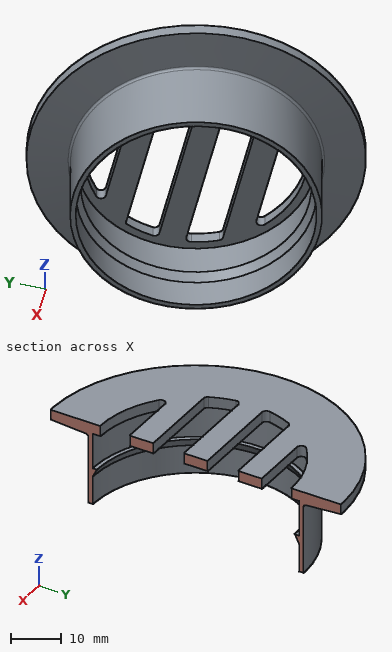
import cadquery as cq

flange_radius = 67.0 / 2
total_height = 19.0
rim_thickness = 2.4
underside_drop = 0.62

collar_outer_radius = 49.7 / 2
collar_inner_radius = 47.5 / 2
neck_fillet = 0.5
plate_thickness = 2.5

ridge_depth = 10.5
ridge_width = 1.0
ridge_height = 2.0

slot_circle_radius = 22.0
slot_pitch = 12.5
bar_width = 5.45
slot_width = slot_pitch - bar_width
slot_count = 4
slot_corner_radius = 1.0


def make_outer_body():
    """Solid flange and collar, the flange underside sloping down to the collar."""
    neck_z = -rim_thickness - underside_drop
    body = (
        cq.Workplane("XZ")
        .moveTo(0, 0)
        .lineTo(flange_radius, 0)
        .lineTo(flange_radius, -rim_thickness)
        .lineTo(collar_outer_radius, neck_z)
        .lineTo(collar_outer_radius, -total_height)
        .lineTo(0, -total_height)
        .close()
        .revolve(360, (0, 0, 0), (0, 1, 0))
    )
    neck_edge = cq.selectors.BoxSelector(
        (-flange_radius, -flange_radius, neck_z - neck_fillet),
        (flange_radius, flange_radius, neck_z + neck_fillet),
        boundingbox=True,
    )
    return body.edges(neck_edge).edges("%CIRCLE").fillet(neck_fillet)


def make_bore():
    """Space inside the collar, narrowed by the snap ridge."""
    ridge_radius = collar_inner_radius - ridge_width
    return (
        cq.Workplane("XZ")
        .moveTo(0, -plate_thickness)
        .lineTo(collar_inner_radius, -plate_thickness)
        .lineTo(collar_inner_radius, -ridge_depth)
        .lineTo(ridge_radius, -ridge_depth)
        .lineTo(collar_inner_radius, -ridge_depth - ridge_height)
        .lineTo(collar_inner_radius, -total_height)
        .lineTo(0, -total_height)
        .close()
        .revolve(360, (0, 0, 0), (0, 1, 0))
    )


def make_slot(index):
    """Slot cutter: a strip along X, cut to the slot circle, with rounded corners."""
    center_y = (index - (slot_count - 1) / 2) * slot_pitch
    strip = (
        cq.Workplane("XY", origin=(0, center_y, -plate_thickness))
        .rect(2 * flange_radius, slot_width)
        .extrude(plate_thickness)
    )
    disc = (
        cq.Workplane("XY", origin=(0, 0, -plate_thickness))
        .circle(slot_circle_radius)
        .extrude(plate_thickness)
    )
    slot = strip.intersect(disc)
    corners = slot.edges("|Z")
    if index == slot_count // 2:
        sharp_corner = cq.selectors.BoxSelector(
            (0, center_y, -plate_thickness),
            (flange_radius, center_y + slot_width, 0),
        )
        corners = corners.edges(-sharp_corner)
    return corners.fillet(slot_corner_radius)


result = make_outer_body().cut(make_bore())
for slot_index in range(slot_count):
    result = result.cut(make_slot(slot_index))